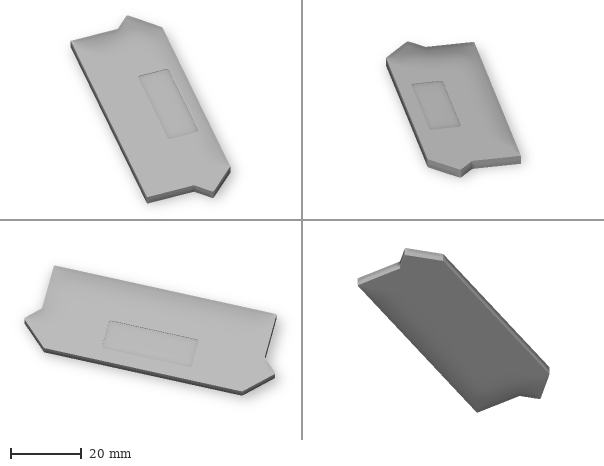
import cadquery as cq
import math

total_length = 72.9
total_width = 26.2
thickness = 2.6

ear_reach = 4.1
body_depth = 14.1

tip_radius = 0.45
tip_trim = tip_radius * (math.sqrt(2) - 1)

label_length = 26.1
label_width = 9.05
label_depth = 0.2
label_corner_radius = 0.8
label_edge_distance = 3.95

half_length = total_length / 2
front_y = -total_width / 2
back_y = total_width / 2
body_half_length = half_length - ear_reach
sharp_tip_x = half_length + tip_trim
shoulder_y = front_y + body_depth
tip_y = shoulder_y + (sharp_tip_x - body_half_length)
back_half_length = sharp_tip_x - (back_y - tip_y)


def make_plate():
    """Symmetric plate with a rounded point at each end."""
    right_side = [
        (body_half_length, front_y),
        (body_half_length, shoulder_y),
        (sharp_tip_x, tip_y),
        (back_half_length, back_y),
    ]
    left_side = [(-x, y) for x, y in reversed(right_side)]
    plate = cq.Workplane("XY").polyline(right_side + left_side).close().extrude(thickness)
    for end in (">X", "<X"):
        plate = plate.edges(f"|Z and {end}").fillet(tip_radius)
    return plate


def make_label_recess():
    """Rounded rectangular pocket, centred along the length of the plate."""
    center_y = back_y - label_edge_distance - label_width / 2
    return (
        cq.Workplane("XY", origin=(0, center_y, thickness - label_depth))
        .rect(label_length, label_width)
        .extrude(label_depth)
        .edges("|Z")
        .fillet(label_corner_radius)
    )


result = make_plate().cut(make_label_recess())